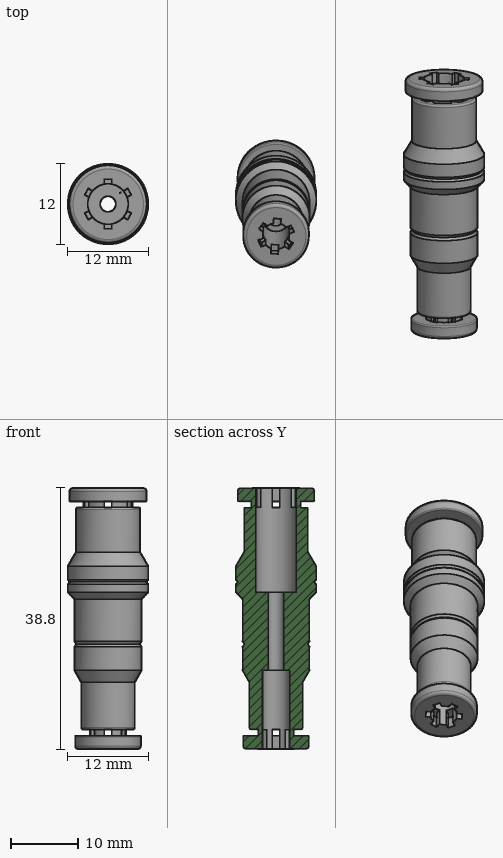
import cadquery as cq

total_height = 38.8
top_flange_bottom = 36.8
body_top = 35.93
upper_cone_top = 29.25
collar_top = 27.2
collar_groove_height = 24.85
collar_bottom = 23.3
waist_top = 22.27
waist_groove_height = 15.6
waist_bottom = 11.7
lower_cone_bottom = 9.95
body_bottom = 2.9
bottom_flange_top = 2.0

top_flange_diameter = 11.5
upper_neck_diameter = 9.6
collar_diameter = 12.0
waist_diameter = 10.0
lower_neck_diameter = 8.0
bottom_flange_diameter = 9.8
top_collet_diameter = 7.37
bottom_collet_diameter = 5.4

through_diameter = 2.3
top_bore_diameter = 6.0
bottom_bore_diameter = 4.0
top_bore_floor = collar_bottom
bottom_bore_floor = waist_bottom

slot_count = 6
slot_width = 1.1

collar_groove_width = 0.7
collar_groove_depth = 0.27
waist_groove_width = 0.8
waist_groove_depth = 0.27
flange_outer_fillet = 0.5
flange_inner_fillet = 0.2
body_end_fillet = 0.3


def cylinder(diameter, bottom, top):
    return cq.Workplane("XY").workplane(offset=bottom).circle(diameter / 2).extrude(top - bottom)


def make_body():
    """Revolved main body with its necks, collar, cones and waist."""
    profile = [
        (0, body_bottom),
        (lower_neck_diameter / 2, body_bottom),
        (lower_neck_diameter / 2, lower_cone_bottom),
        (waist_diameter / 2, waist_bottom),
        (waist_diameter / 2, waist_top),
        (collar_diameter / 2, collar_bottom),
        (collar_diameter / 2, collar_top),
        (upper_neck_diameter / 2, upper_cone_top),
        (upper_neck_diameter / 2, body_top),
        (0, body_top),
    ]
    body = cq.Workplane("XZ").polyline(profile).close().revolve(360, (0, 0), (0, 1))
    return body.faces("<Z or >Z").edges().fillet(body_end_fillet)


def v_groove(diameter, height, width, depth):
    """Ring to cut away, with a symmetric V section."""
    radius = diameter / 2
    section = [
        (radius, height - width / 2),
        (radius - depth, height),
        (radius, height + width / 2),
    ]
    return cq.Workplane("XZ").polyline(section).close().revolve(360, (0, 0), (0, 1))


def flange(diameter, bottom, top, outer_face, inner_face):
    """Release ring with a large fillet on the free end and a small one facing the body."""
    ring = cylinder(diameter, bottom, top)
    ring = ring.faces(outer_face).edges().fillet(flange_outer_fillet)
    return ring.faces(inner_face).edges().fillet(flange_inner_fillet)


def collet_slots(collet_diameter, bottom, top):
    """Radial slots as deep as the collet wall, open to the bore."""
    slots = cq.Workplane("XY")
    for index in range(slot_count):
        slot = (
            cq.Workplane("XY", origin=(0, 0, bottom))
            .rect(slot_width, collet_diameter / 2, centered=(True, False))
            .extrude(top - bottom)
            .rotate((0, 0, 0), (0, 0, 1), index * 360 / slot_count)
        )
        slots = slots.add(slot)
    return slots.combine()


result = make_body()
result = result.cut(v_groove(collar_diameter, collar_groove_height, collar_groove_width, collar_groove_depth))
result = result.cut(v_groove(waist_diameter, waist_groove_height, waist_groove_width, waist_groove_depth))
result = result.union(cylinder(top_collet_diameter, body_top, top_flange_bottom))
result = result.union(cylinder(bottom_collet_diameter, bottom_flange_top, body_bottom))
result = result.union(flange(top_flange_diameter, top_flange_bottom, total_height, ">Z", "<Z"))
result = result.union(flange(bottom_flange_diameter, 0, bottom_flange_top, "<Z", ">Z"))

result = result.cut(cylinder(through_diameter, 0, total_height))
result = result.cut(cylinder(top_bore_diameter, top_bore_floor, total_height))
result = result.cut(cylinder(bottom_bore_diameter, 0, bottom_bore_floor))
result = result.cut(collet_slots(top_collet_diameter, body_top, total_height))
result = result.cut(collet_slots(bottom_collet_diameter, 0, body_bottom))